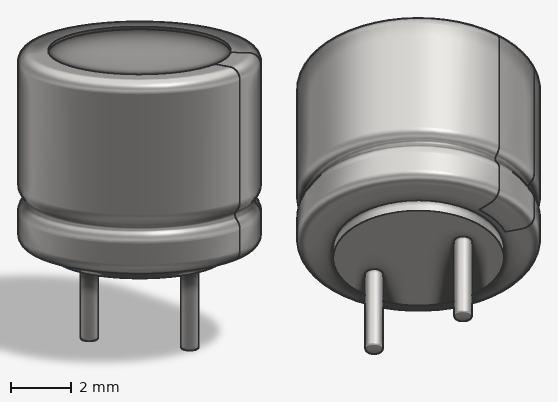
import cadquery as cq
import math

can_diameter = 8.0
can_radius = can_diameter / 2
can_top = 10.0
can_bottom = 3.4
rim_fillet = 0.4
mark_angle = 30.0

belt_height = 5.0
belt_depth = 0.2
belt_fillet = 0.5

cap_radius = 3.0
cap_sink = 0.1
cap_thickness = 0.2

base_diameter = 5.6
base_bottom = 3.0

lead_diameter = 0.6
lead_pitch = 3.5
lead_tip_fillet = 0.1


def can_profile(inner_radius):
    """Half section of the can from inner_radius out to the wall, in the XZ plane."""
    center_distance = belt_depth + belt_fillet
    fillet_offset = math.sqrt(center_distance**2 - belt_fillet**2)
    fillet_radius_pos = can_radius - belt_fillet
    floor_share = belt_depth / center_distance
    touch_radius = can_radius - belt_fillet * floor_share
    touch_offset = fillet_offset * floor_share

    half_turn = math.atan2(fillet_offset, belt_fillet) / 2
    mid_radius = fillet_radius_pos + belt_fillet * math.cos(half_turn)
    mid_offset = fillet_offset - belt_fillet * math.sin(half_turn)

    rim_radius = can_radius - rim_fillet
    rim_bulge = rim_fillet * (1 - math.sqrt(0.5))
    return (
        cq.Workplane("XZ")
        .moveTo(inner_radius, can_bottom)
        .lineTo(rim_radius, can_bottom)
        .threePointArc(
            (can_radius - rim_bulge, can_bottom + rim_bulge),
            (can_radius, can_bottom + rim_fillet),
        )
        .lineTo(can_radius, belt_height - fillet_offset)
        .threePointArc(
            (mid_radius, belt_height - mid_offset),
            (touch_radius, belt_height - touch_offset),
        )
        .threePointArc(
            (can_radius - belt_depth, belt_height),
            (touch_radius, belt_height + touch_offset),
        )
        .threePointArc(
            (mid_radius, belt_height + mid_offset),
            (can_radius, belt_height + fillet_offset),
        )
        .lineTo(can_radius, can_top - rim_fillet)
        .threePointArc(
            (can_radius - rim_bulge, can_top - rim_bulge),
            (rim_radius, can_top),
        )
        .lineTo(inner_radius, can_top)
        .close()
    )


def disc(radius, bottom, top):
    """Upright cylinder on the can's axis."""
    return cq.Workplane("XY").workplane(offset=bottom).circle(radius).extrude(top - bottom)


def make_mark():
    """Sector of the can wall, outside the cap, centred on +X."""
    sector = can_profile(cap_radius).revolve(mark_angle, (0, 0, 0), (0, 1, 0))
    return sector.rotate((0, 0, 0), (0, 0, 1), -mark_angle / 2)


def make_housing():
    """Rest of the can wall around a solid core that carries the cap."""
    wall_angle = 360 - mark_angle
    wall = can_profile(cap_radius).revolve(wall_angle, (0, 0, 0), (0, 1, 0))
    wall = wall.rotate((0, 0, 0), (0, 0, 1), mark_angle / 2)
    core = disc(cap_radius, can_bottom, can_top - cap_sink - cap_thickness)
    return wall.union(core)


def make_cap():
    cap_top = can_top - cap_sink
    return disc(cap_radius, cap_top - cap_thickness, cap_top)


def make_base():
    return disc(base_diameter / 2, base_bottom, can_bottom)


def make_lead(x):
    """Lead hanging from the underside of the base, with a rounded tip."""
    lead = disc(lead_diameter / 2, 0, base_bottom)
    return lead.faces("<Z").edges().fillet(lead_tip_fillet).translate((x, 0, 0))


housing = make_housing()
mark = make_mark()
cap = make_cap()
base = make_base()
leads = [make_lead(side * lead_pitch / 2) for side in (-1, 1)]

result = cq.Compound.makeCompound(
    [housing.val(), mark.val(), cap.val(), base.val(), *[lead.val() for lead in leads]]
)